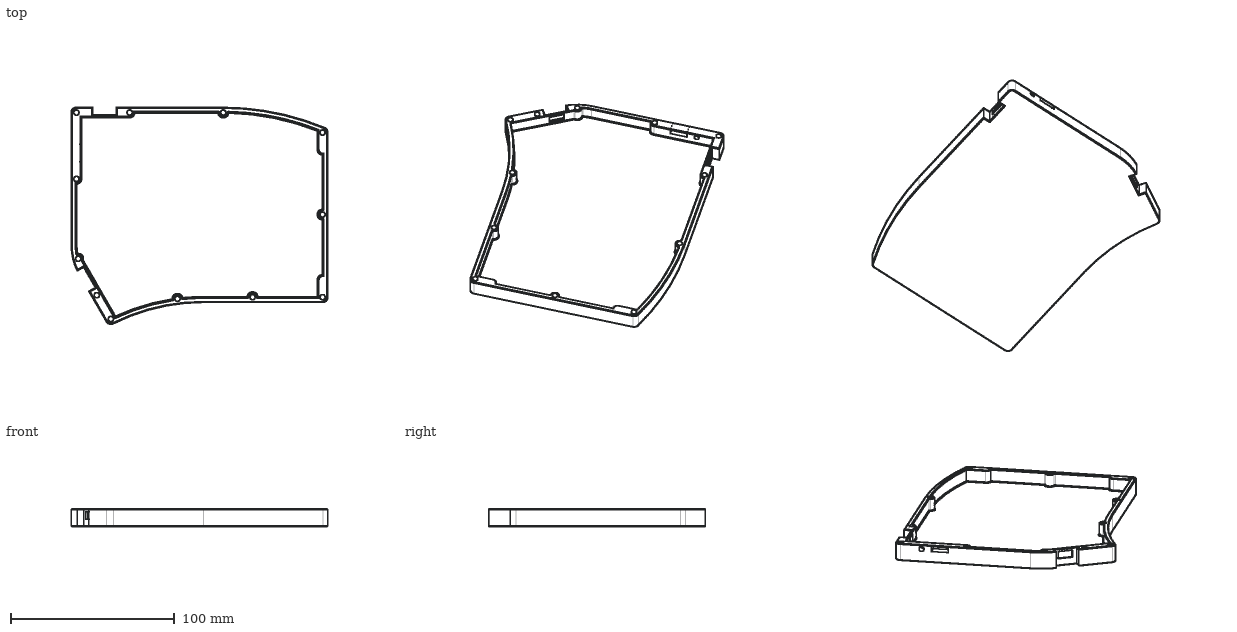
import cadquery as cq
import math


WIDTH = 156.91
OVERALL_DEPTH = 132.65
STRAIGHT_DEPTH = 119.3
HEIGHT = 11.0
SLANT_ANGLE = 30.0
CORNER_RADIUS = 3.2
BACK_CURVE_START = 92.6
BACK_CURVE_RADIUS = 162.0
FRONT_CURVE_START = 80.8
FRONT_CURVE_RADIUS = 123.0
SIDE_CURVE_RADIUS = 35.5
OUTER_CHAMFER = 0.5

FLOOR = 3.0
WALL = 3.0
INNER_CHAMFER = 0.5
BOSS_RADIUS = 2.7
BOSS_BLEND = 0.8
PAD_DEPTH = CORNER_RADIUS + BOSS_RADIUS
RIGHT_PAD_REACH = 13.3
SLANT_PAD_LENGTH = 41.0

SCREW_DIAMETER = 3.2
SCREW_DEPTH = HEIGHT - FLOOR
SCREW_INSET = CORNER_RADIUS
BACK_PAD_SCREW_X = 35.7
LEFT_PAD_SCREW_Y = 75.5
BACK_SCREW_X = 93.0
RIGHT_SCREW_Y = 53.7
FRONT_SCREW_X = 110.9
FRONT_CURVE_SCREW_X = 65.0
SIDE_CURVE_SCREW_Y = 26.7
SLANT_SCREW_DISTANCE = 16.9

BACK_NOTCH_X = 20.3
NOTCH_WIDTH = 14.5
NOTCH_DEPTH = 4.6
SLANT_NOTCH_DISTANCE = 28.6
PORT_WIDTH = 9.4
PORT_HEIGHT = 4.6
PORT_Z = 6.9
PORT_CORNER_RADIUS = 0.5
RESET_DIAMETER = 3.0
RESET_DISTANCE = 16.5
RESET_Z = 8.25
SWITCH_DISTANCE = 27.9
SWITCH_LENGTH = 10.5
SWITCH_BOTTOM = 7.1
SWITCH_TOP = 10.3

BACK_CURVE_CENTER = (BACK_CURVE_START, STRAIGHT_DEPTH - BACK_CURVE_RADIUS)
FRONT_CURVE_CENTER = (FRONT_CURVE_START, -FRONT_CURVE_RADIUS)
LEFT_X = CORNER_RADIUS
RIGHT_X = WIDTH - CORNER_RADIUS
BACK_Y = STRAIGHT_DEPTH - CORNER_RADIUS
FRONT_Y = CORNER_RADIUS


def other_leg(hypotenuse, leg):
    return math.sqrt(hypotenuse**2 - leg**2)


BACK_RIGHT_Y = BACK_CURVE_CENTER[1] + other_leg(
    BACK_CURVE_RADIUS - CORNER_RADIUS, RIGHT_X - BACK_CURVE_START
)
THUMB_Y = STRAIGHT_DEPTH - OVERALL_DEPTH + CORNER_RADIUS
THUMB_X = FRONT_CURVE_START - other_leg(
    FRONT_CURVE_RADIUS + CORNER_RADIUS, THUMB_Y - FRONT_CURVE_CENTER[1]
)

SLANT = math.radians(SLANT_ANGLE)
ALONG = (-math.sin(SLANT), math.cos(SLANT))
OUTWARD = (-math.cos(SLANT), -math.sin(SLANT))


def slant_point(distance, inset):
    """Point at a distance from the thumb corner centre and an inset from the thumb side."""
    out = CORNER_RADIUS - inset
    return (
        THUMB_X + distance * ALONG[0] + out * OUTWARD[0],
        THUMB_Y + distance * ALONG[1] + out * OUTWARD[1],
    )


SLANT_EDGE_FOOT = slant_point(0, 0)
SLANT_TO_LEFT_EDGE = SLANT_EDGE_FOOT[0] / math.sin(SLANT)
SIDE_CURVE_CENTER = (
    SIDE_CURVE_RADIUS,
    SLANT_EDGE_FOOT[1] + SLANT_TO_LEFT_EDGE * math.cos(SLANT) + SIDE_CURVE_RADIUS * math.tan(SLANT / 2),
)


def polar(center, radius, degrees):
    angle = math.radians(degrees)
    return (center[0] + radius * math.cos(angle), center[1] + radius * math.sin(angle))


def direction(start, end):
    return math.degrees(math.atan2(end[1] - start[1], end[0] - start[0]))


BACK_RIGHT = (RIGHT_X, BACK_RIGHT_Y)
THUMB = (THUMB_X, THUMB_Y)
SIDE_SCREW_X = SIDE_CURVE_CENTER[0] - other_leg(
    SIDE_CURVE_RADIUS - SCREW_INSET, SIDE_CURVE_CENTER[1] - SIDE_CURVE_SCREW_Y
)
SIDE_SCREW = (SIDE_SCREW_X, SIDE_CURVE_SCREW_Y)
FRONT_CURVE_SCREW_Y = FRONT_CURVE_CENTER[1] + other_leg(
    FRONT_CURVE_RADIUS + SCREW_INSET, FRONT_CURVE_SCREW_X - FRONT_CURVE_START
)

WALL_SCREWS = [
    (BACK_SCREW_X, BACK_Y),
    (RIGHT_X, RIGHT_SCREW_Y),
    (FRONT_SCREW_X, FRONT_Y),
    (FRONT_CURVE_SCREW_X, FRONT_CURVE_SCREW_Y),
    SIDE_SCREW,
]
PAD_SCREWS = [
    (LEFT_X, BACK_Y),
    (BACK_PAD_SCREW_X, BACK_Y),
    (LEFT_X, LEFT_PAD_SCREW_Y),
    BACK_RIGHT,
    (RIGHT_X, FRONT_Y),
    THUMB,
    slant_point(SLANT_SCREW_DISTANCE, PAD_DEPTH / 2),
]


def outline():
    """Closed outer outline, drawn clockwise from the back left corner."""
    back_angle = direction(BACK_CURVE_CENTER, BACK_RIGHT)
    front_angle = direction(FRONT_CURVE_CENTER, THUMB)
    slant_angle = 180 + SLANT_ANGLE

    def arc(sketch, center, radius, start, end):
        return sketch.threePointArc(polar(center, radius, (start + end) / 2), polar(center, radius, end))

    sketch = cq.Workplane("XY").moveTo(LEFT_X, STRAIGHT_DEPTH).lineTo(BACK_CURVE_START, STRAIGHT_DEPTH)
    sketch = arc(sketch, BACK_CURVE_CENTER, BACK_CURVE_RADIUS, 90, back_angle)
    sketch = arc(sketch, BACK_RIGHT, CORNER_RADIUS, back_angle, 0)
    sketch = sketch.lineTo(WIDTH, FRONT_Y)
    sketch = arc(sketch, (RIGHT_X, FRONT_Y), CORNER_RADIUS, 0, -90)
    sketch = sketch.lineTo(FRONT_CURVE_START, 0)
    sketch = arc(sketch, FRONT_CURVE_CENTER, FRONT_CURVE_RADIUS, 90, front_angle)
    sketch = arc(sketch, THUMB, CORNER_RADIUS, front_angle + 180, slant_angle)
    sketch = sketch.lineTo(*polar(SIDE_CURVE_CENTER, SIDE_CURVE_RADIUS, slant_angle))
    sketch = arc(sketch, SIDE_CURVE_CENTER, SIDE_CURVE_RADIUS, slant_angle, 180)
    sketch = sketch.lineTo(0, BACK_Y)
    sketch = arc(sketch, (LEFT_X, BACK_Y), CORNER_RADIUS, 180, 90)
    return sketch.close()


def place_on_back(body):
    """Moves a body centred on a connector to the back edge."""
    return body.translate((BACK_NOTCH_X, STRAIGHT_DEPTH, 0))


def place_on_slant(body, distance=0):
    """Turns a body whose +Y points out of the case and puts it on the thumb side."""
    return body.rotate((0, 0, 0), (0, 0, 1), 90 + SLANT_ANGLE).translate((*slant_point(distance, 0), 0))


def outer_block():
    """Solid block with both connector recesses and chamfered outer edges."""
    notch = cq.Workplane("XY").box(NOTCH_WIDTH, 2 * NOTCH_DEPTH, 2 * HEIGHT)
    notch = notch.translate((0, 0, HEIGHT / 2))
    block = outline().extrude(HEIGHT)
    block = block.cut(place_on_back(notch)).cut(place_on_slant(notch, SLANT_NOTCH_DISTANCE))
    return block.faces("<Z or >Z").edges().chamfer(OUTER_CHAMFER)


def pad(x_range, y_range):
    (x0, x1), (y0, y1) = x_range, y_range
    return cq.Workplane("XY").box(x1 - x0, y1 - y0, HEIGHT, centered=False).translate((x0, y0, 0))


def pads():
    """Thick stretches of wall, each starting outside the case."""
    outside = PAD_DEPTH
    left = (-outside, PAD_DEPTH)
    right = (WIDTH - PAD_DEPTH, WIDTH + outside)
    back = (STRAIGHT_DEPTH - PAD_DEPTH, STRAIGHT_DEPTH + outside)
    slant = pad((-outside, SLANT_PAD_LENGTH), (-PAD_DEPTH, outside))
    free_ends = [
        pad((-outside, BACK_PAD_SCREW_X + BOSS_RADIUS), back).edges("|Z and >X and <Y"),
        pad(left, (LEFT_PAD_SCREW_Y - BOSS_RADIUS, back[1])).edges("|Z and >X and <Y"),
        pad(right, (BACK_RIGHT_Y - RIGHT_PAD_REACH, back[1])).edges("|Z and <X and <Y"),
        pad(right, (-outside, FRONT_Y + RIGHT_PAD_REACH)).edges("|Z and <X and >Y"),
    ]
    return [end.fillet(PAD_DEPTH - WALL) for end in free_ends] + [place_on_slant(slant)]


def cut_around_boss(hollow, center):
    """Leaves a round screw boss standing in the hollow, blended into the walls it touches."""
    boss = cq.Workplane("XY").center(*center).circle(BOSS_RADIUS).extrude(HEIGHT)
    reach = BOSS_RADIUS + BOSS_BLEND
    low = (center[0] - reach, center[1] - reach, 0)
    high = (center[0] + reach, center[1] + reach, HEIGHT)
    joints = hollow.cut(boss).edges("|Z").edges(cq.selectors.BoxSelector(low, high))
    return joints.fillet(BOSS_BLEND)


def cavity():
    """Hollow inside the walls, pads and bosses, narrowed by a chamfer around its floor."""
    hollow = outline().offset2D(-WALL).extrude(HEIGHT - FLOOR).translate((0, 0, FLOOR))
    for thick_part in pads():
        hollow = hollow.cut(thick_part)
    for center in WALL_SCREWS:
        hollow = cut_around_boss(hollow, center)
    return hollow.faces("<Z").edges().chamfer(INNER_CHAMFER)


def chamfer_inner_rim(tray):
    rim = tray.faces(">Z").val().innerWires()[0]
    return tray.newObject(rim.Edges()).chamfer(INNER_CHAMFER)


def screw_holes():
    holes = cq.Workplane("XY", origin=(0, 0, HEIGHT)).pushPoints(WALL_SCREWS + PAD_SCREWS)
    return holes.circle(SCREW_DIAMETER / 2).extrude(-SCREW_DEPTH)


def port():
    """Rounded plug opening through the wall behind a connector recess."""
    opening = cq.Workplane("XY").box(PORT_WIDTH, 4 * PAD_DEPTH, PORT_HEIGHT)
    return opening.edges("|Y").fillet(PORT_CORNER_RADIUS).translate((0, 0, PORT_Z))


def left_openings():
    """Reset hole and switch slot through the left pad."""
    length = 2 * PAD_DEPTH
    reset = cq.Workplane("YZ").center(STRAIGHT_DEPTH - RESET_DISTANCE, RESET_Z)
    reset = reset.circle(RESET_DIAMETER / 2).extrude(length)
    switch = cq.Workplane("YZ").center(STRAIGHT_DEPTH - SWITCH_DISTANCE, (SWITCH_BOTTOM + SWITCH_TOP) / 2)
    return reset.union(switch.rect(SWITCH_LENGTH, SWITCH_TOP - SWITCH_BOTTOM).extrude(length))


tray = chamfer_inner_rim(outer_block().cut(cavity()))
tray = tray.cut(place_on_back(port())).cut(place_on_slant(port(), SLANT_NOTCH_DISTANCE))
result = tray.cut(screw_holes()).cut(left_openings())